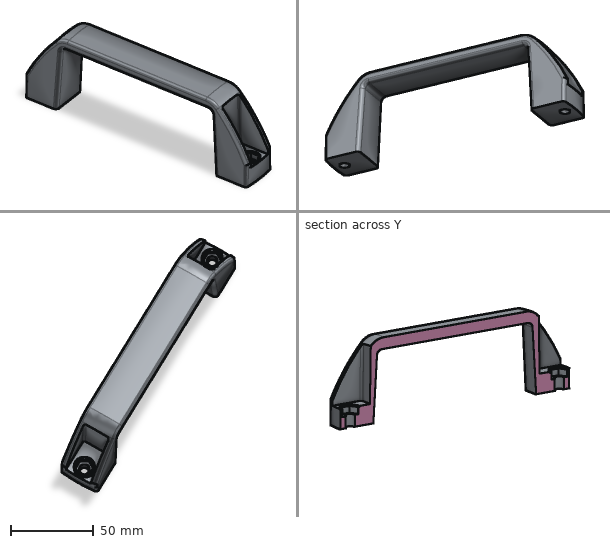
import cadquery as cq
import math

length = 167.0
base_width = 26.0
height = 53.5
top_width = 24.0

half_length = length / 2
foot_height = 16.4
grip_half_length = 51.8
shoulder_radius = 12.9
shoulder_angle = math.radians(47)
crown = 0.8

inner_base = 59.1
inner_top = 56.3
grip_underside = 45.8
inner_corner_radius = 3.3

outer_edge_radius = 2.0
inner_edge_radius = 2.5

pocket_width = 17.7
pocket_floor = 12.9
pocket_wall_base = 62.0
pocket_wall_top = 61.3
pocket_corner_radius = 1.3

hole_x = -76.2
hole_diameter = 6.3
hex_across_flats = 9.9
hex_depth = 5.0
recess_diameter = 12.9
recess_depth = 0.7

clearance = 8.4


def along_shoulder(angle):
    """Point on the shoulder arc, with the angle measured from the vertical."""
    x = -grip_half_length - shoulder_radius * math.sin(angle)
    z = height - shoulder_radius * (1 - math.cos(angle))
    return x, z


def trace_outer(sketch):
    """Continue a sketch from the grip top, around the shoulder, down to the foot."""
    return (
        sketch.lineTo(-grip_half_length, height)
        .threePointArc(along_shoulder(shoulder_angle / 2), along_shoulder(shoulder_angle))
        .tangentArcPoint((-half_length, foot_height), relative=False)
    )


def make_half_profile():
    """Left half of the handle, extruded across its full base width."""
    outline = trace_outer(cq.Workplane("XZ").moveTo(0, height))
    solid = (
        outline.lineTo(-half_length, 0)
        .lineTo(-inner_base, 0)
        .lineTo(-inner_top, grip_underside)
        .lineTo(0, grip_underside)
        .close()
        .extrude(base_width / 2, both=True)
    )
    inner_corner = cq.selectors.NearestToPointSelector((-inner_top, 0, grip_underside))
    return solid.edges(inner_corner).fillet(inner_corner_radius)


def make_side_draft():
    """Block whose sides lean inward toward the top."""
    return (
        cq.Workplane("YZ", origin=(-length, 0, 0))
        .polyline([
            (-base_width / 2, 0),
            (base_width / 2, 0),
            (top_width / 2, height),
            (-top_width / 2, height),
        ])
        .close()
        .extrude(length)
    )


def make_end_crown():
    """Block with a bowed outer end for the foot."""
    edge_x = -half_length + crown
    return (
        cq.Workplane("XY")
        .moveTo(0, -base_width / 2)
        .lineTo(edge_x, -base_width / 2)
        .threePointArc((-half_length, 0), (edge_x, base_width / 2))
        .lineTo(0, base_width / 2)
        .close()
        .extrude(height)
    )


def make_top_crown_cutter():
    """Concave strip that leaves a crown along the grip, shoulder and leg."""
    path = trace_outer(cq.Workplane("XZ").moveTo(0, height))
    return (
        cq.Workplane("YZ")
        .moveTo(-base_width / 2, height - crown)
        .threePointArc((0, height), (base_width / 2, height - crown))
        .lineTo(base_width / 2, height + clearance)
        .lineTo(-base_width / 2, height + clearance)
        .close()
        .sweep(path)
    )


def round_side_edges(body):
    """Round the inner edges, then the outer edges, along both sides."""
    inner_points = [
        (-(inner_base + inner_top) / 2, grip_underside / 2),
        (-inner_top, grip_underside),
        (-grip_half_length / 2, grip_underside),
    ]
    outer_points = [
        (-half_length, foot_height / 2),
        ((-half_length + along_shoulder(shoulder_angle)[0]) / 2, (foot_height + height) / 2),
        along_shoulder(shoulder_angle / 2),
        (-grip_half_length / 2, height),
    ]
    for points, radius in ((inner_points, inner_edge_radius), (outer_points, outer_edge_radius)):
        edges = cq.Workplane()
        for side in (-top_width / 2, top_width / 2):
            for x, z in points:
                edges = edges.add(body.edges(cq.selectors.NearestToPointSelector((x, side, z))))
        body = body.newObject([body.val().fillet(radius, edges.vals())])
    return body


def make_pocket():
    """Open pocket with a leaning back wall and rounded corners."""
    opening_x = -half_length - clearance
    wall_slope = (pocket_wall_base - pocket_wall_top) / (height - pocket_floor)
    ceiling = height + clearance
    ceiling_x = -pocket_wall_base + wall_slope * (ceiling - pocket_floor)
    pocket = (
        cq.Workplane("XZ")
        .polyline([
            (opening_x, pocket_floor),
            (-pocket_wall_base, pocket_floor),
            (ceiling_x, ceiling),
            (opening_x, ceiling),
        ])
        .close()
        .extrude(pocket_width / 2, both=True)
    )
    return pocket.faces(">X").edges("not |Y").fillet(pocket_corner_radius)


def make_screw_seat():
    """Through hole, hexagonal seat and shallow round recess."""
    floor = cq.Workplane("XY", origin=(hole_x, 0, pocket_floor))
    hole = floor.circle(hole_diameter / 2).extrude(-pocket_floor)
    hex_across_corners = hex_across_flats / math.cos(math.pi / 6)
    hexagon = floor.polygon(6, hex_across_corners).extrude(-hex_depth)
    recess = floor.circle(recess_diameter / 2).extrude(-recess_depth)
    return hole.union(hexagon).union(recess)


body = make_half_profile().intersect(make_side_draft()).intersect(make_end_crown())
body = body.cut(make_top_crown_cutter())
body = round_side_edges(body)
half = body.cut(make_pocket()).cut(make_screw_seat())
result = half.union(half.mirror("YZ")).clean()